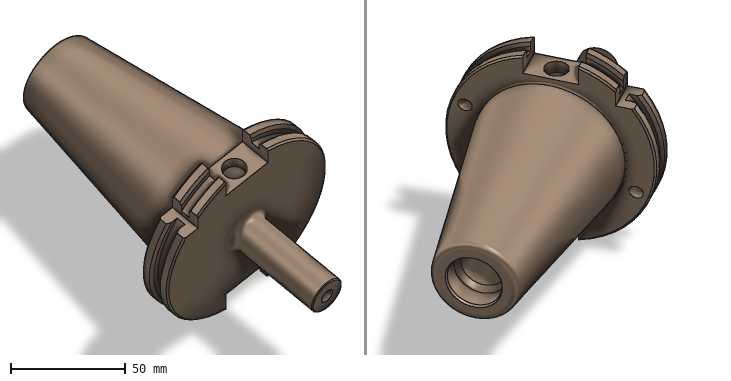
import cadquery as cq
import math


overall_length = 170.8
taper_length = 101.8
gauge_radius = 34.9
taper_slope = 7 / 48
tip_fillet = 3.0
land_length = 1.4
neck_relief = 0.2
neck_fillet = 0.9

flange_radius = 97.5 / 2
flange_start = 104.9
flange_width = 15.9
rim_chamfer = 0.9
groove_root_radius = 44.5
groove_width = 4.8
groove_flare_width = 1.0
groove_flare_depth = groove_flare_width * math.tan(math.radians(60))

shank_radius = 9.0
shank_fillet = 4.0
shank_chamfer = 0.5

slot_width = 25.6
upper_slot_height = 37.8
lower_slot_height = 35.2
notch_edge = 30.0

floor_hole_diameter = 11.1
floor_hole_depth = 6.2

entry_radius = 13.2
entry_depth = 1.4
counterbore_radius = 12.6
counterbore_end = 10.5
thread_radius = 12.1
thread_start = 11.0
core_radius = 10.6
core_start = 13.7
core_end = 61.5
passage_radius = 3.5
drill_half_angle = math.radians(59)

coolant_roll = 20.0
port_circle_radius = 42.0
port_diameter = 6.0
port_tilt = 25.0
port_depth = 7.2
channel_diameter = 2.9

flange_end = flange_start + flange_width
flange_middle = flange_start + flange_width / 2


def revolve_about_x(profile):
    return profile.close().revolve(360, (0, 0, 0), (1, 0, 0))


def make_body():
    tip_radius = gauge_radius - taper_length * taper_slope
    land_end = taper_length + land_length
    neck_radius = gauge_radius - neck_relief
    groove_start = flange_middle - groove_width / 2
    groove_end = flange_middle + groove_width / 2
    flare_radius = flange_radius - groove_flare_depth
    profile = (
        cq.Workplane("XY")
        .lineTo(0, tip_radius)
        .lineTo(taper_length, gauge_radius)
        .lineTo(land_end, gauge_radius)
        .lineTo(flange_start - neck_fillet, neck_radius)
        .radiusArc((flange_start, neck_radius + neck_fillet), -neck_fillet)
        .lineTo(flange_start, flange_radius - rim_chamfer)
        .lineTo(flange_start + rim_chamfer, flange_radius)
        .lineTo(groove_start - groove_flare_width, flange_radius)
        .lineTo(groove_start, flare_radius)
        .lineTo(groove_start, groove_root_radius)
        .lineTo(groove_end, groove_root_radius)
        .lineTo(groove_end, flare_radius)
        .lineTo(groove_end + groove_flare_width, flange_radius)
        .lineTo(flange_end - rim_chamfer, flange_radius)
        .lineTo(flange_end, flange_radius - rim_chamfer)
        .lineTo(flange_end, shank_radius + shank_fillet)
        .radiusArc((flange_end + shank_fillet, shank_radius), -shank_fillet)
        .lineTo(overall_length - shank_chamfer, shank_radius)
        .lineTo(overall_length, shank_radius - shank_chamfer)
        .lineTo(overall_length, 0)
    )
    return revolve_about_x(profile).faces("<X").edges().fillet(tip_fillet)


def make_bore():
    drill_point = (core_radius - passage_radius) / math.tan(drill_half_angle)
    profile = (
        cq.Workplane("XY")
        .lineTo(0, entry_radius)
        .lineTo(entry_depth, counterbore_radius)
        .lineTo(counterbore_end, counterbore_radius)
        .lineTo(thread_start, thread_radius)
        .lineTo(core_start, core_radius)
        .lineTo(core_end, core_radius)
        .lineTo(core_end + drill_point, passage_radius)
        .lineTo(overall_length, passage_radius)
        .lineTo(overall_length, 0)
    )
    return revolve_about_x(profile)


def make_flange_cutter(y_min, y_max, z_min, z_max):
    return (
        cq.Workplane("XY", origin=(flange_start, y_min, z_min))
        .box(flange_width, y_max - y_min, z_max - z_min, centered=False)
    )


def make_drive_slots():
    half_width = slot_width / 2
    upper = make_flange_cutter(-half_width, half_width, upper_slot_height, flange_radius)
    lower = make_flange_cutter(-half_width, half_width, -flange_radius, -lower_slot_height)
    return upper.union(lower)


def make_orientation_notch():
    return make_flange_cutter(-flange_radius, -notch_edge, notch_edge, flange_radius)


def make_floor_hole():
    return (
        cq.Workplane("XY", origin=(flange_middle, 0, upper_slot_height))
        .circle(floor_hole_diameter / 2)
        .extrude(-floor_hole_depth)
    )


def make_coolant_inlet(roll):
    tilt = math.radians(port_tilt)
    inward = cq.Vector(math.cos(tilt), -math.sin(tilt), 0)
    mouth = cq.Vector(flange_start, port_circle_radius, 0)
    overshoot = port_diameter / 2
    port = cq.Solid.makeCylinder(
        port_diameter / 2, port_depth + overshoot, mouth - inward * overshoot, inward
    )
    channel = cq.Solid.makeCylinder(
        channel_diameter / 2, groove_root_radius, cq.Vector(flange_middle, 0, 0), cq.Vector(0, 1, 0)
    )
    return cq.Workplane(port).union(cq.Workplane(channel)).rotate((0, 0, 0), (1, 0, 0), roll)


result = make_body()
result = result.cut(make_bore())
result = result.cut(make_drive_slots())
result = result.cut(make_orientation_notch())
result = result.cut(make_floor_hole())
for roll in (coolant_roll, coolant_roll + 180):
    result = result.cut(make_coolant_inlet(roll))